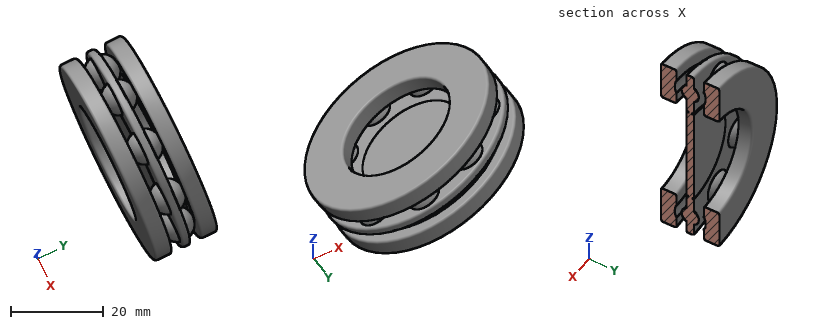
import cadquery as cq
import math

outer_diameter = 47
total_width = 15.0
washer_width = 4.05
cage_width = 2.0
edge_fillet = 0.6

washer_bore = 27.0
cage_bore = 25.0

ball_count = 9
ball_diameter = 7.85
raceway_diameter = 7.8
pitch_radius = 18.5


def rounded_disc(width, centre_y, bore):
    """Disc about the Y axis with rounded rims, also around its bore."""
    return (
        cq.Workplane("XZ", origin=(0, centre_y + width / 2, 0))
        .circle(outer_diameter / 2)
        .circle(bore / 2)
        .extrude(width)
        .edges()
        .fillet(edge_fillet)
    )


def ball(index):
    """One ball on the pitch circle, counted from the +X axis."""
    angle = 2 * math.pi * index / ball_count
    centre = (pitch_radius * math.cos(angle), 0, pitch_radius * math.sin(angle))
    return cq.Workplane("XY").sphere(ball_diameter / 2).translate(centre)


washer_offset = (total_width - washer_width) / 2

raceway = (
    cq.Workplane("XY")
    .center(pitch_radius, 0)
    .circle(raceway_diameter / 2)
    .revolve(360, (-pitch_radius, 0, 0), (-pitch_radius, 1, 0))
)
front_washer = rounded_disc(washer_width, -washer_offset, washer_bore).cut(raceway)
back_washer = rounded_disc(washer_width, washer_offset, washer_bore).cut(raceway)

core = cq.Workplane("XZ", origin=(0, cage_width / 2, 0)).circle(cage_bore / 2).extrude(cage_width)
cage = rounded_disc(cage_width, 0, cage_bore).union(core)

result = cage.union(front_washer).union(back_washer)
for index in range(ball_count):
    result = result.union(ball(index))